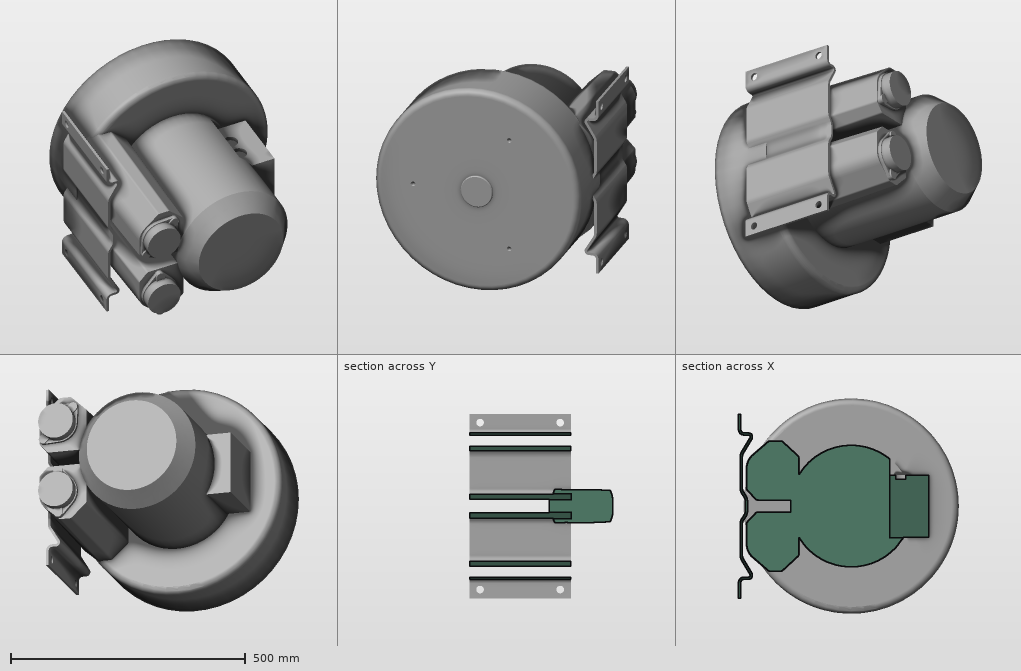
import cadquery as cq
import math


HOUSING_RADIUS = 229.5
HOUSING_LENGTH = 143.0
HOUSING_ROUND = 14.5
HUB_RADIUS = 36.0
HUB_HEIGHT = 5.0
HUB_CHAMFER = 2.0
DIMPLE_CIRCLE_RADIUS = 143.0
DIMPLE_RADIUS = 5.2
DIMPLE_DEPTH = 5.2
DIMPLE_COUNT = 3
PAD_HALF_HEIGHT = 24.0
PAD_DEPTH = 38.5

MOTOR_RADIUS = 130.0
MOTOR_END_RADIUS = 100.0
MOTOR_CONE_X = 432.0
MOTOR_END_X = 472.0

BOX_X = 154.5
BOX_LENGTH = 141.0
BOX_INNER_Y = 82.5
BOX_OUTER_Y = 166.0
BOX_HALF_HEIGHT = 67.0
ENTRY_RADIUS = 16.5
ENTRY_PITCH = 42.5
ENTRY_CENTRE_X = 225.5
ENTRY_Y = 106.0
ENTRY_DEPTH = 9.5

SILENCER_X = 122.5
SILENCER_END_X = 429.0
SILENCER_LENGTH = SILENCER_END_X - SILENCER_X
SILENCER_DRAFT = 1.0
LARGE_ROUND = 38.0
SMALL_ROUND = 7.0
SILENCER_CORNERS = [
    (-225.0, 34.5, SMALL_ROUND),
    (-225.0, 98.7, LARGE_ROUND),
    (-176.0, 141.0, SMALL_ROUND),
    (-147.0, 141.0, SMALL_ROUND),
    (-109.0, 106.5, SMALL_ROUND),
    (-109.0, 10.5, SMALL_ROUND),
    (-202.5, 10.5, SMALL_ROUND),
]

PORT_Y = -174.5
PORT_Z = 77.0
PIPE_RADIUS = 38.5
PIPE_END_X = 458.0
FLANGE_RADIUS = 41.0
FLANGE_TIP_RADIUS = 9.5
FLANGE_TIP_DISTANCE = 47.0
FLANGE_END_X = 436.5
BAR_THICKNESS = 4.0
UPPER_PORT_TURN = -45
LOWER_PORT_TURN = 0

FOOT_X = 96.5
FOOT_LENGTH = 216.5
FOOT_MID_X = FOOT_X + FOOT_LENGTH / 2
FOOT_THICKNESS = 5.5
FOOT_OUTER_Y = -241.0
FOOT_FLANGE_Y = FOOT_OUTER_Y + FOOT_THICKNESS / 2
FOOT_HALF_HEIGHT = 196.5
FOOT_HOLE_RADIUS = 8.0
FOOT_HOLE_X = (119.2, 290.0)
FOOT_HOLE_Z = 178.0
PLATE_Y = -234.0
FLANGE_BEND_Z = 153.5
FOOT_BENDS = [
    (-223.0, 15.7, 19.0),
    (PLATE_Y, 33.0, 15.0),
    (PLATE_Y, 110.0, 19.0),
    (-208.0, FLANGE_BEND_Z, 6.0),
    (FOOT_FLANGE_Y, FLANGE_BEND_Z, 10.5),
]


def make_housing():
    """Round fan housing with its hub, screw dimples and rim pad."""
    housing = cq.Workplane("YZ").circle(HOUSING_RADIUS).extrude(HOUSING_LENGTH).edges().fillet(HOUSING_ROUND)

    hub = cq.Workplane("YZ").circle(HUB_RADIUS).extrude(-HUB_HEIGHT).faces("<X").chamfer(HUB_CHAMFER)
    housing = housing.union(hub)

    pad_length = HOUSING_LENGTH - SILENCER_X
    pad_block = (
        cq.Workplane("XY")
        .box(pad_length, PAD_DEPTH, 2 * PAD_HALF_HEIGHT, centered=(False, False, True))
        .translate((SILENCER_X, -HOUSING_RADIUS, 0))
    )
    rim = cq.Workplane("YZ", origin=(SILENCER_X, 0, 0)).circle(HOUSING_RADIUS).extrude(pad_length)
    housing = housing.union(rim.intersect(pad_block))

    for i in range(DIMPLE_COUNT):
        angle = math.radians(i * 360 / DIMPLE_COUNT)
        y = DIMPLE_CIRCLE_RADIUS * math.cos(angle)
        z = DIMPLE_CIRCLE_RADIUS * math.sin(angle)
        dimple = cq.Solid.makeCone(DIMPLE_RADIUS, 0, DIMPLE_DEPTH, cq.Vector(0, y, z), cq.Vector(1, 0, 0))
        housing = housing.cut(cq.Workplane(dimple))
    return housing


def make_motor():
    """Motor cylinder with a conical end and the recess that takes the terminal box."""
    outline = [
        (HOUSING_LENGTH, 0),
        (HOUSING_LENGTH, MOTOR_RADIUS),
        (MOTOR_CONE_X, MOTOR_RADIUS),
        (MOTOR_END_X, MOTOR_END_RADIUS),
        (MOTOR_END_X, 0),
    ]
    motor = cq.Workplane("XY").polyline(outline).close().revolve(360, (0, 0, 0), (1, 0, 0))
    recess = (
        cq.Workplane("XY")
        .box(BOX_LENGTH, MOTOR_RADIUS, BOX_HALF_HEIGHT + MOTOR_RADIUS, centered=False)
        .translate((BOX_X, BOX_INNER_Y, -BOX_HALF_HEIGHT))
    )
    return motor.cut(recess)


def make_silencer():
    """Upper silencer, tapering along +X."""
    corners = [(y, z) for y, z, radius in SILENCER_CORNERS]
    silencer = (
        cq.Workplane("YZ", origin=(SILENCER_X, 0, 0))
        .polyline(corners)
        .close()
        .extrude(SILENCER_LENGTH, taper=SILENCER_DRAFT)
    )
    middle_x = SILENCER_X + SILENCER_LENGTH / 2
    for y, z, radius in SILENCER_CORNERS:
        long_edge = cq.selectors.NearestToPointSelector((middle_x, y, z))
        silencer = silencer.edges(long_edge).fillet(radius)
    return silencer


def make_flange():
    """Plate with a round middle and a small round lobe at each end along Z."""
    lean = math.acos((FLANGE_RADIUS - FLANGE_TIP_RADIUS) / FLANGE_TIP_DISTANCE)
    side_y = FLANGE_RADIUS * math.sin(lean)
    side_z = FLANGE_RADIUS * math.cos(lean)
    tip_y = FLANGE_TIP_RADIUS * math.sin(lean)
    tip_z = FLANGE_TIP_DISTANCE + FLANGE_TIP_RADIUS * math.cos(lean)
    top_z = FLANGE_TIP_DISTANCE + FLANGE_TIP_RADIUS
    return (
        cq.Workplane("YZ", origin=(SILENCER_END_X, 0, 0))
        .moveTo(side_y, -side_z)
        .threePointArc((FLANGE_RADIUS, 0), (side_y, side_z))
        .lineTo(tip_y, tip_z)
        .threePointArc((0, top_z), (-tip_y, tip_z))
        .lineTo(-side_y, side_z)
        .threePointArc((-FLANGE_RADIUS, 0), (-side_y, -side_z))
        .lineTo(-tip_y, -tip_z)
        .threePointArc((0, -top_z), (tip_y, -tip_z))
        .close()
        .extrude(FLANGE_END_X - SILENCER_END_X)
    )


def make_port(turn, z):
    """Flange, bar and pipe stub, turned about the pipe axis and placed at height z."""
    bar = (
        cq.Workplane("YZ", origin=(FLANGE_END_X, 0, 0))
        .slot2D(2 * (FLANGE_TIP_DISTANCE + FLANGE_TIP_RADIUS), 2 * FLANGE_TIP_RADIUS, 90)
        .extrude(BAR_THICKNESS)
    )
    pipe_length = PIPE_END_X - FLANGE_END_X
    pipe = cq.Workplane("YZ", origin=(FLANGE_END_X, 0, 0)).circle(PIPE_RADIUS).extrude(pipe_length)
    port = make_flange().union(bar).union(pipe)
    return port.rotate((0, 0, 0), (1, 0, 0), turn).translate((0, PORT_Y, z))


def make_blower(foot):
    """Housing, motor, silencers and ports in one casting, slotted where the foot enters the rim."""
    silencer = make_silencer()
    blower = make_housing().union(silencer).union(silencer.mirror("XY"))
    blower = blower.union(make_port(UPPER_PORT_TURN, PORT_Z))
    blower = blower.union(make_port(LOWER_PORT_TURN, -PORT_Z))
    return blower.union(make_motor()).cut(foot)


def make_terminal_box():
    """Terminal box with two round cable entries in its top."""
    box = (
        cq.Workplane("XY")
        .box(BOX_LENGTH, BOX_OUTER_Y - BOX_INNER_Y, 2 * BOX_HALF_HEIGHT, centered=(False, False, True))
        .translate((BOX_X, BOX_INNER_Y, 0))
    )
    entries = (
        cq.Workplane("XY", origin=(ENTRY_CENTRE_X, ENTRY_Y, BOX_HALF_HEIGHT))
        .rarray(ENTRY_PITCH, 5, 2, 1)
        .circle(ENTRY_RADIUS)
        .extrude(-ENTRY_DEPTH)
    )
    return box.cut(entries)


def rounded_path(start, bends, end):
    """Wire of straight lines from start to end, with an arc at each (corner, radius) bend."""
    points = [start] + [corner for corner, radius in bends] + [end]
    edges = []
    arc_end = start
    for before, (corner, radius), after in zip(points, bends, points[2:]):
        back = (before - corner).normalized()
        ahead = (after - corner).normalized()
        half_angle = back.getAngle(ahead) / 2
        setback = radius / math.tan(half_angle)
        arc_start = corner + back * setback
        arc_middle = corner + (back + ahead).normalized() * (radius / math.sin(half_angle) - radius)
        edges.append(cq.Edge.makeLine(arc_end, arc_start))
        arc_end = corner + ahead * setback
        edges.append(cq.Edge.makeThreePointArc(arc_start, arc_middle, arc_end))
    edges.append(cq.Edge.makeLine(arc_end, end))
    return cq.Wire.assembleEdges(edges)


def make_foot():
    """Bent sheet, symmetric about Z = 0, with two screw holes in each outer flange."""
    upper = [(cq.Vector(FOOT_MID_X, y, z), radius) for y, z, radius in FOOT_BENDS]
    lower = [(cq.Vector(FOOT_MID_X, y, -z), radius) for y, z, radius in reversed(FOOT_BENDS)]
    start = cq.Vector(FOOT_MID_X, FOOT_FLANGE_Y, -FOOT_HALF_HEIGHT)
    end = cq.Vector(FOOT_MID_X, FOOT_FLANGE_Y, FOOT_HALF_HEIGHT)
    path = cq.Workplane(rounded_path(start, lower + upper, end))
    foot = cq.Workplane("XY", origin=start.toTuple()).rect(FOOT_LENGTH, FOOT_THICKNESS).sweep(path)
    holes = (
        cq.Workplane("XZ", origin=(0, FOOT_FLANGE_Y, 0))
        .pushPoints([(x, z) for x in FOOT_HOLE_X for z in (-FOOT_HOLE_Z, FOOT_HOLE_Z)])
        .circle(FOOT_HOLE_RADIUS)
        .extrude(FOOT_THICKNESS, both=True)
    )
    return foot.cut(holes)


foot = make_foot()
terminal_box = make_terminal_box()
blower = make_blower(foot)

result = cq.Compound.makeCompound([blower.val(), terminal_box.val(), foot.val()])